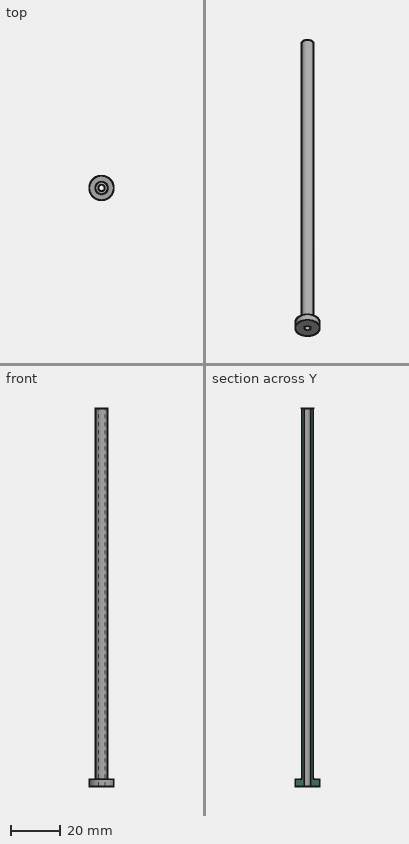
import cadquery as cq

overall_length = 153.0
head_diameter = 10.0
head_height = 3.0
tube_diameter = 5.0
bore_diameter = 2.5
root_fillet_radius = 0.3


def make_half_section():
    """Half section of the sleeve in the XZ plane, on the +X side of the axis."""
    bore_radius = bore_diameter / 2
    tube_radius = tube_diameter / 2
    head_radius = head_diameter / 2
    fillet_foot = (tube_radius + root_fillet_radius, head_height)
    fillet_top = (tube_radius, head_height + root_fillet_radius)
    return (
        cq.Workplane("XZ")
        .moveTo(bore_radius, 0)
        .lineTo(head_radius, 0)
        .lineTo(head_radius, head_height)
        .lineTo(*fillet_foot)
        .tangentArcPoint(fillet_top, relative=False)
        .lineTo(tube_radius, overall_length)
        .lineTo(bore_radius, overall_length)
        .close()
    )


result = make_half_section().revolve(360, (0, 0, 0), (0, 1, 0))